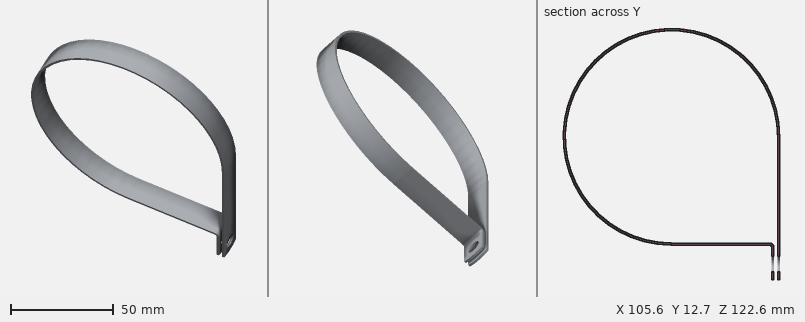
import cadquery as cq
import math

strip_width = 12.7
strip_thickness = 1.22
loop_outer_diameter = 105.61
overall_height = 122.58

tab_gap = 1.59
bend_inner_radius = 1.1
tab_end_radius = 15.88
hole_diameter = 7.14
hole_to_tab_end = 7.87

outer_radius = loop_outer_diameter / 2
inner_radius = outer_radius - strip_thickness
bend_outer_radius = bend_inner_radius + strip_thickness
tab_end_z = outer_radius - overall_height
short_tab_outer_x = inner_radius - tab_gap
short_tab_inner_x = short_tab_outer_x - strip_thickness
bend_center_x = short_tab_outer_x - bend_outer_radius
bend_center_z = -outer_radius - bend_inner_radius


def diagonal_point(center_x, center_z, radius, x_sign):
    """Point at 45 degrees above the centre, right (+1) or left (-1)."""
    offset = radius * math.sqrt(0.5)
    return (center_x + x_sign * offset, center_z + offset)


def make_bent_strip():
    """Three-quarter loop with a straight long leg and a bent short leg."""
    return (
        cq.Workplane("XZ", origin=(0, strip_width / 2, 0))
        .moveTo(outer_radius, tab_end_z)
        .lineTo(outer_radius, 0)
        .threePointArc(diagonal_point(0, 0, outer_radius, -1), (0, -outer_radius))
        .lineTo(bend_center_x, -outer_radius)
        .threePointArc(
            diagonal_point(bend_center_x, bend_center_z, bend_inner_radius, 1),
            (short_tab_inner_x, bend_center_z),
        )
        .lineTo(short_tab_inner_x, tab_end_z)
        .lineTo(short_tab_outer_x, tab_end_z)
        .lineTo(short_tab_outer_x, bend_center_z)
        .threePointArc(
            diagonal_point(bend_center_x, bend_center_z, bend_outer_radius, 1),
            (bend_center_x, -inner_radius),
        )
        .lineTo(0, -inner_radius)
        .threePointArc(diagonal_point(0, 0, inner_radius, -1), (inner_radius, 0))
        .lineTo(inner_radius, tab_end_z)
        .close()
        .extrude(strip_width)
    )


def make_rounded_envelope():
    """Block around the strip whose lower end is the shallow arc of the tab ends."""
    half_width = strip_width / 2
    arc_rise = tab_end_radius - math.sqrt(tab_end_radius**2 - half_width**2)
    corner_z = tab_end_z + arc_rise
    return (
        cq.Workplane("YZ")
        .moveTo(-half_width, outer_radius)
        .lineTo(-half_width, corner_z)
        .threePointArc((0, tab_end_z), (half_width, corner_z))
        .lineTo(half_width, outer_radius)
        .close()
        .extrude(outer_radius, both=True)
    )


def make_bolt_hole():
    """Cylinder along X that passes through both tabs."""
    return (
        cq.Workplane("YZ")
        .center(0, tab_end_z + hole_to_tab_end)
        .circle(hole_diameter / 2)
        .extrude(loop_outer_diameter)
    )


result = make_bent_strip().intersect(make_rounded_envelope()).cut(make_bolt_hole())